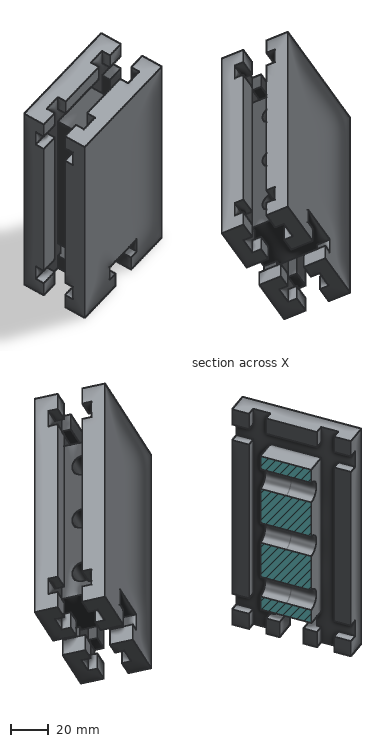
import cadquery as cq

width = 40.0
depth = 70.0
height = 140.0

mouth_width = 14.0
head_width = 24.5
lip_thickness = 10.0
slot_depth = 20.0

hole_diameter = 12.5
hole_spacing = 35.0
hole_count = 3


def t_slot(plane, edge_distance, side, length):
    """T-slot cutter opening on the face at side * edge_distance along the plane's local y axis."""
    edge = side * edge_distance
    lip = side * (edge_distance - lip_thickness)
    floor = side * (edge_distance - slot_depth)
    mouth = mouth_width / 2
    head = head_width / 2
    profile = [
        (-mouth, edge),
        (-mouth, lip),
        (-head, lip),
        (-head, floor),
        (head, floor),
        (head, lip),
        (mouth, lip),
        (mouth, edge),
    ]
    return cq.Workplane(plane).polyline(profile).close().extrude(length / 2, both=True)


result = cq.Workplane("XY").box(width, depth, height)

for side in (-1, 1):
    result = result.cut(t_slot("XY", depth / 2, side, height))
    result = result.cut(t_slot("XZ", height / 2, side, depth))

result = result.cut(t_slot("YZ", height / 2, -1, width))

holes = (
    cq.Workplane("XZ")
    .rarray(1.4, hole_spacing, 1, hole_count)
    .circle(hole_diameter / 2)
    .extrude(depth / 2, both=True)
)
result = result.cut(holes)